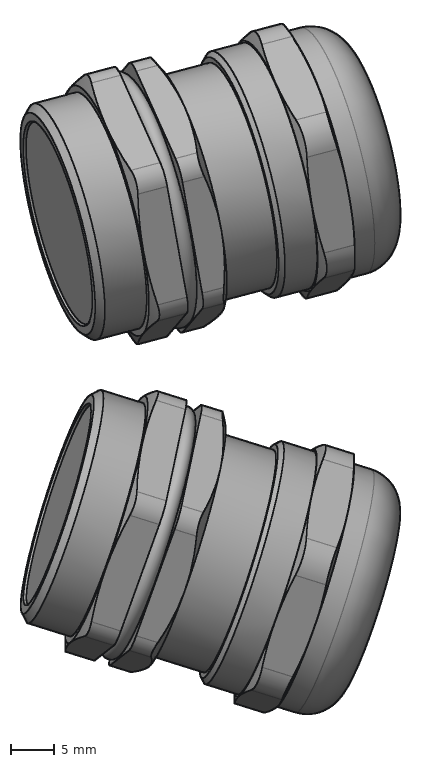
import cadquery as cq
import math

length = 38.15

entry_chamfer = 0.88
lock_nut_start = 6.0
lock_nut_end = 10.1
body_hex_start = 12.0
body_hex_end = 15.55
cap_start = 22.15
cap_hex_start = 26.65
cap_hex_end = 31.18

thread_diameter = 28.3
neck_diameter = 27.0
cap_diameter = 29.5
cap_edge_chamfer = 0.57
dome_radius = 4.5
ring_outer_diameter = 30.68
recess_diameter = 24.5
recess_floor_diameter = 24.2
recess_depth = 0.3

across_flats = 29.95
nut_corner_radius = 2.9
cap_corner_radius = 4.55
steep_bevel = 30.0
shallow_bevel = 19.0


def cylinder(diameter, start, end):
    """Round section along Y from start to end."""
    return cq.Workplane("XZ", origin=(0, start, 0)).circle(diameter / 2).extrude(start - end)


def hexagon(start, end, corner_radius, start_bevel=0.0, end_bevel=0.0):
    """Hexagonal collar with rounded corners; bevel angles in degrees trim its ends."""
    across_corners = across_flats / math.cos(math.radians(30))
    collar = (
        cq.Workplane("XZ", origin=(0, start, 0))
        .polygon(6, across_corners)
        .extrude(start - end)
        .edges("|Y")
        .fillet(corner_radius)
    )
    face_radius = across_flats / 2
    outer_radius = across_corners / 2
    reach = outer_radius - face_radius
    start_drop = reach * math.tan(math.radians(start_bevel))
    end_drop = reach * math.tan(math.radians(end_bevel))
    envelope = (
        cq.Workplane("XY")
        .moveTo(0, start)
        .lineTo(face_radius, start)
        .lineTo(outer_radius, start + start_drop)
        .lineTo(outer_radius, end - end_drop)
        .lineTo(face_radius, end)
        .lineTo(0, end)
        .close()
        .revolve(360, (0, 0, 0), (0, 1, 0))
    )
    return collar.intersect(envelope)


def sealing_ring():
    """O-ring filling the gap between the lock nut and the body hexagon."""
    section_radius = (body_hex_start - lock_nut_end) / 2
    centre_radius = ring_outer_diameter / 2 - section_radius
    centre_y = (body_hex_start + lock_nut_end) / 2
    return (
        cq.Workplane("XY")
        .moveTo(0, lock_nut_end)
        .lineTo(centre_radius, lock_nut_end)
        .threePointArc((ring_outer_diameter / 2, centre_y), (centre_radius, body_hex_start))
        .lineTo(0, body_hex_start)
        .close()
        .revolve(360, (0, 0, 0), (0, 1, 0))
    )


def recess():
    """Shallow tapered recess in the threaded end."""
    return (
        cq.Workplane("XY")
        .lineTo(recess_diameter / 2, 0)
        .lineTo(recess_floor_diameter / 2, recess_depth)
        .lineTo(0, recess_depth)
        .close()
        .revolve(360, (0, 0, 0), (0, 1, 0))
    )


thread = cylinder(thread_diameter, 0, body_hex_start).faces("<Y").chamfer(entry_chamfer)
neck = cylinder(neck_diameter, body_hex_start, cap_start)
cap = (
    cylinder(cap_diameter, cap_start, length)
    .faces("<Y")
    .chamfer(cap_edge_chamfer)
    .faces(">Y")
    .edges()
    .fillet(dome_radius)
)

lock_nut = hexagon(lock_nut_start, lock_nut_end, nut_corner_radius, start_bevel=shallow_bevel)
body_hex = hexagon(body_hex_start, body_hex_end, nut_corner_radius, end_bevel=steep_bevel)
cap_hex = hexagon(cap_hex_start, cap_hex_end, cap_corner_radius, shallow_bevel, shallow_bevel)

result = thread.union(neck).union(cap).union(lock_nut).union(body_hex).union(cap_hex)
result = result.union(sealing_ring()).cut(recess())